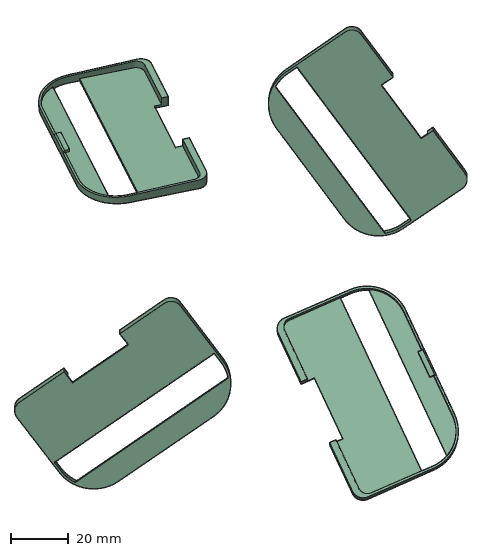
import cadquery as cq
import math

width = 70.0
depth = 43.75
back_height = 4.0
front_height = 2.6
front_radius = 14.7
back_radius = 4.0

side_wall = 0.85
back_wall = 2.45
floor_thickness = 1.0

slot_front = 8.5
slot_back = 18.6
notch_width = 23.8
notch_depth = 5.05

lip_width = 9.95
lip_depth = 2.45
lip_height = 1.0
lip_bevel_run = 0.6
lip_bevel_drop = 0.5


def rounded_plate(x_size, y_front, y_back, front_corner, back_corner, height):
    """Plate with large rounded front corners and small rounded back corners."""
    plate = cq.Workplane("XY").box(x_size, y_back - y_front, height, centered=(True, False, False))
    plate = plate.translate((0, y_front, 0))
    plate = plate.edges("|Z and <Y").fillet(front_corner)
    return plate.edges("|Z and >Y").fillet(back_corner)


def block(x_size, y_front, y_back, z_bottom, z_top):
    """Rectangular block centred on x = 0."""
    solid = cq.Workplane("XY").box(x_size, y_back - y_front, z_top - z_bottom, centered=(True, False, False))
    return solid.translate((0, y_front, z_bottom))


side_profile = (
    cq.Workplane("YZ")
    .polyline([(0, 0), (depth, 0), (depth, back_height), (0, front_height)])
    .close()
    .extrude(width / 2, both=True)
)
body = rounded_plate(width, 0, depth, front_radius, back_radius, back_height).intersect(side_profile)

interior = rounded_plate(
    width - 2 * side_wall,
    side_wall,
    depth - back_wall,
    front_radius - side_wall,
    back_radius - side_wall,
    back_height,
)
tray = body.cut(interior.translate((0, 0, floor_thickness)))

slot = interior.intersect(block(width, slot_front, slot_back, 0, back_height))
tray = tray.cut(slot)

tray = tray.cut(block(notch_width, depth - notch_depth, depth, 0, back_height))

lip_profile = [
    (0, 0),
    (lip_depth, 0),
    (lip_depth, lip_height),
    (lip_bevel_run, lip_height),
    (0, lip_height - lip_bevel_drop),
]
lip = cq.Workplane("YZ").polyline(lip_profile).close().extrude(lip_width / 2, both=True)
rim_angle = math.degrees(math.atan2(back_height - front_height, depth))
lip = lip.rotate((0, 0, 0), (1, 0, 0), rim_angle).translate((0, 0, front_height))

result = tray.union(lip)